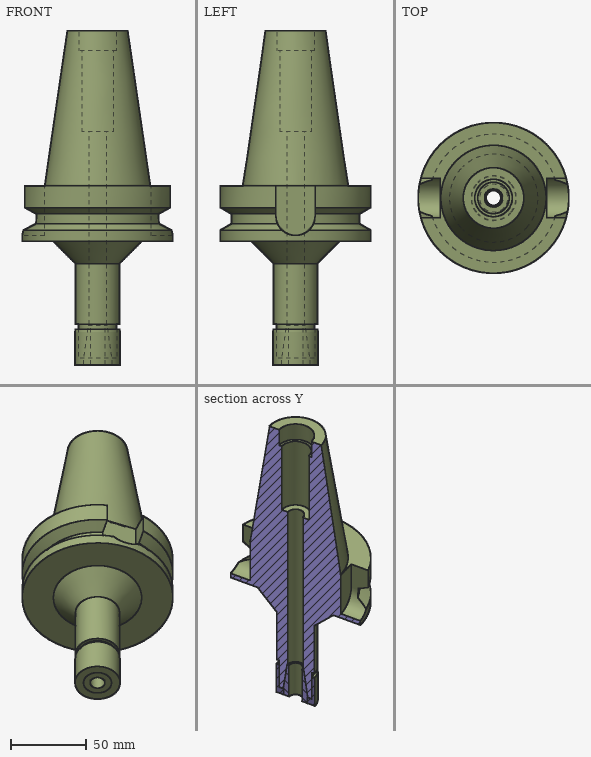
import cadquery as cq
import math

overall_length = 221.8
gauge_height = 120.0
taper_large_radius = 69.9 / 2
taper_small_radius = 40.1 / 2

flange_radius = 100.0 / 2
flange_bottom = 82.0
flange_top = 118.9
groove_floor_radius = 42.5
groove_floor_bottom = 93.8
groove_floor_top = 100.3
groove_wall_angle = 30.0
groove_flare = (flange_radius - groove_floor_radius) * math.tan(math.radians(groove_wall_angle))

slot_width = 26.0
slot_floor_height = 86.0
slot_face_offset = 35.3
slot_round_height = slot_floor_height + slot_width / 2

neck_radius = 14.6
neck_bottom = 27.3
neck_top = 67.5
neck_cone_radius = neck_radius + flange_bottom - neck_top

nose_radius = 12.6
nose_bottom = 4.9

counterbore_radius = 12.5
counterbore_depth = 13.0
drawbar_bore_radius = 10.5
drawbar_bore_depth = 66.5
through_radius = 5.8

collet_front_radius = 9.3
collet_back_radius = 6.2
collet_length = 26.6
collet_bore_radius = 4.9

nut_radius = 30.0 / 2
nut_height = 24.0
nut_bevel_height = 1.8
nut_bevel_width = 0.2


def revolve_profile(points):
    """Turn a closed (radius, height) outline about the Z axis."""
    return cq.Workplane("XZ").polyline(points).close().revolve(360, (0, 0, 0), (0, 1, 0))


def bore(radius, bottom, top):
    """Cylinder on the Z axis between two heights."""
    return cq.Workplane("XY").workplane(offset=bottom).circle(radius).extrude(top - bottom)


def make_collet_envelope():
    """Outside of the collet: a short cylinder, then a taper."""
    return revolve_profile([
        (0, 0),
        (collet_front_radius, 0),
        (collet_front_radius, nose_bottom),
        (collet_back_radius, collet_length),
        (0, collet_length),
    ])


def make_drive_slot(side):
    """Round-bottomed slot, open to the flange rim and top; side is -1 or 1."""
    half_width = slot_width / 2
    return (
        cq.Workplane("YZ")
        .workplane(offset=side * slot_face_offset)
        .moveTo(-half_width, flange_top)
        .lineTo(-half_width, slot_round_height)
        .threePointArc((0, slot_floor_height), (half_width, slot_round_height))
        .lineTo(half_width, flange_top)
        .close()
        .extrude(side * (flange_radius - slot_face_offset))
    )


def make_holder():
    """Taper shank, flange, neck and nose in one piece."""
    body = revolve_profile([
        (0, nose_bottom),
        (nose_radius, nose_bottom),
        (nose_radius, neck_bottom),
        (neck_radius, neck_bottom),
        (neck_radius, neck_top),
        (neck_cone_radius, flange_bottom),
        (flange_radius, flange_bottom),
        (flange_radius, groove_floor_bottom - groove_flare),
        (groove_floor_radius, groove_floor_bottom),
        (groove_floor_radius, groove_floor_top),
        (flange_radius, groove_floor_top + groove_flare),
        (flange_radius, flange_top),
        (taper_large_radius, flange_top),
        (taper_large_radius, gauge_height),
        (taper_small_radius, overall_length),
        (0, overall_length),
    ])
    for side in (-1, 1):
        body = body.cut(make_drive_slot(side))
    body = body.cut(bore(counterbore_radius, overall_length - counterbore_depth, overall_length))
    body = body.cut(bore(drawbar_bore_radius, overall_length - drawbar_bore_depth, overall_length))
    body = body.cut(bore(through_radius, nose_bottom, overall_length))
    return body.cut(make_collet_envelope())


def make_collet():
    """Tapered collet with a straight bore."""
    return make_collet_envelope().cut(bore(collet_bore_radius, 0, collet_length))


def make_nut():
    """Ring around the nose, with a front lip around the collet."""
    return revolve_profile([
        (collet_front_radius, 0),
        (nut_radius, 0),
        (nut_radius, nut_height - nut_bevel_height),
        (nut_radius - nut_bevel_width, nut_height),
        (nose_radius, nut_height),
        (nose_radius, nose_bottom),
        (collet_front_radius, nose_bottom),
    ])


holder = make_holder()
collet = make_collet()
nut = make_nut()

result = cq.Compound.makeCompound([holder.val(), collet.val(), nut.val()])